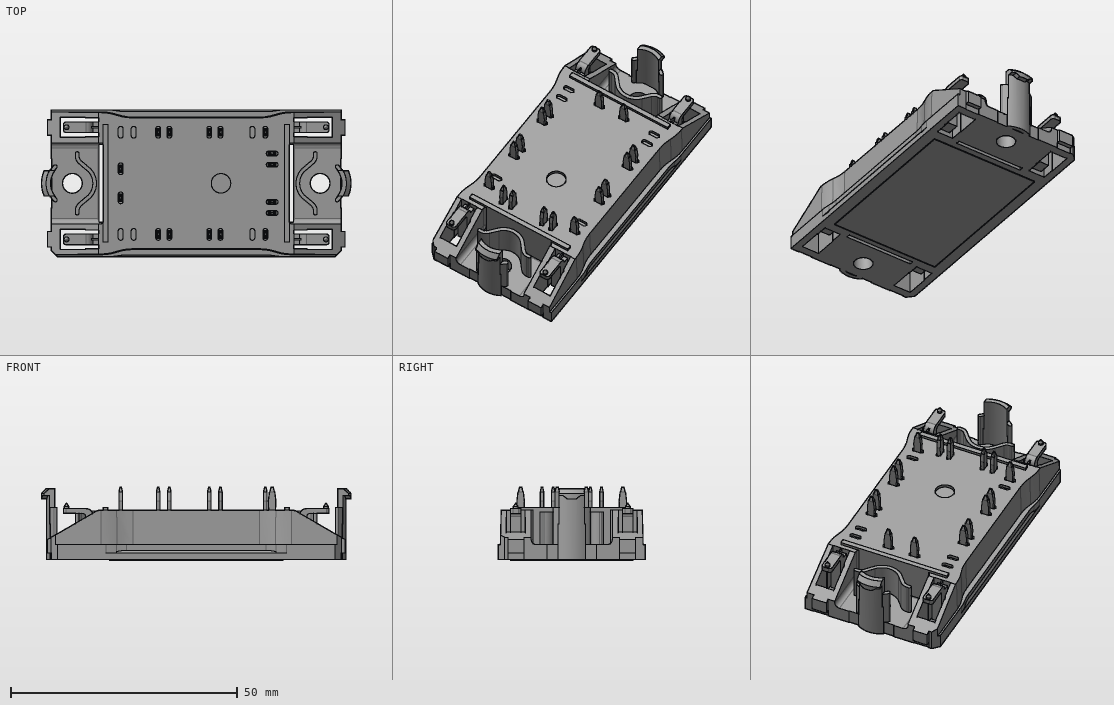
import cadquery as cq
import math

BODY_LENGTH = 64.15
BODY_WIDTH = 32.5
CORNER_CHAMFER = 1.45
BASE_LENGTH = 38.3
BASE_WIDTH = 27.1
BASE_THICKNESS = 0.2
FLANGE_TOP = 3.5
DECK_TOP = 11.15
DECK_HALF_LENGTH = 21.6
RAMP_ANGLE = 30.0

WALL_HALF_WIDTH = 15.8
WALL_DRAFT = 1.5
WAIST_DEPTH = 1.15
WAIST_OUTER_X = 21.1
WAIST_INNER_X = 13.95

RECESS_FLOOR = 1.65
RECESS_DEPTH = 0.4
RECESS_RISE = 0.6
RECESS_OUTER_X = 19.9
RECESS_INNER_X = 15.4

CHANNEL_HALF_WIDTH = 8.95
CHANNEL_FILLET = 1.15
SLIT_INNER_X = 20.6
SLIT_OUTER_X = 21.5
SLIT_HALF_WIDTH = 8.55
CHANNEL_CORNER_RADIUS = 0.5
SCREW_X = 27.35
ROUND_HOLE_DIAMETER = 4.3

WINDOW_INNER_X = 21.55
WINDOW_OUTER_X = 30.0
WINDOW_INNER_Y = 10.2
WINDOW_OUTER_Y = 14.6
WINDOW_STEP_X = 24.5
WINDOW_STEP = 0.15

TAB_REACH = 0.8
TAB_INNER_Y = 10.6
TAB_OUTER_Y = 14.1

RELIEF_DEPTH = 0.15
HOOK_RELIEF_HALF_WIDTH = 5.5

SCREEN_TOP = 10.75
SCREEN_THICKNESS = 0.8
SCREEN_CENTER_X = 26.6
SCREEN_RADIUS = 4.2
SCREEN_SWEEP = 50.0
SCREEN_STRAIGHT = 2.2
SCREEN_BEND_RADIUS = 2.0
SCREEN_END_Y = 7.0

HOOK_INNER_RADIUS = 4.8
HOOK_OUTER_RADIUS = 5.75
HOOK_LIP_RADIUS = 6.85
HOOK_TOP = 15.9
HOOK_LIP_BOTTOM = 13.6
HOOK_LIP_EDGE = 14.85
HOOK_LIP_TOP_RADIUS = 5.8
HOOK_LIP_SIDE_BOTTOM = 14.35
HOOK_LIP_TONGUE_ROOT = 1.9
HOOK_LIP_TONGUE_END = 1.0
HOOK_HALF_WIDTH = 2.8
HOOK_ROOT_HALF_WIDTH = 3.0
HOOK_ROOT_TOP = 8.1
HOOK_WING_SWEEP = 44.5
HOOK_WING_THICKNESS = 0.8
HOOK_WING_TOP = 11.75

ARM_Y = 12.4
ARM_WIDTH = 2.4
ARM_TIP_X = 29.35
ARM_LEG_X = 22.85
ARM_THICKNESS = 1.1
ARM_TOP = 11.5
ARM_TIP_FILLET = 0.6
ARM_BEND_RADIUS = 1.5
ARM_INNER_BEND_RADIUS = 0.7
ARM_LEG_THICKNESS = 1.6
ARM_BRIDGE_TOP = 9.9
ARM_LEG_BOTTOM = 1.4
ARM_RIB_WIDTH = 0.35
NUB_X = 28.65
NUB_DIAMETER = 1.1
NUB_BASE_HEIGHT = 0.4
NUB_TOP = 12.7

RIDGE_WIDTH = 1.1
RIDGE_LENGTH = 26.0
RIDGE_HEIGHT = 0.6
DIMPLE_X = 5.5
POCKET_DEPTH = 0.7
SLOT_LENGTH = 2.6
SLOT_WIDTH = 1.1
ROW_Y = 11.3
ROW_PIN_X = (-8.4, -5.95, 2.9, 5.35, 15.25)
ROW_EMPTY_X = (-16.7, -13.8, 12.4)
LEFT_PINS = ((-16.7, 3.2), (-16.7, -3.2))
RIGHT_PINS = ((16.75, 6.6), (16.75, 4.1), (16.75, -4.1), (16.75, -6.6))

PIN_TOP = 16.2
PIN_SHOULDER = 15.2
PIN_BULGE = 13.1
PIN_THICKNESS = 0.8
PIN_BASE_WIDTH = 1.5
PIN_BULGE_WIDTH = 1.7
PIN_SHOULDER_WIDTH = 1.2
PIN_TIP_ROOT_WIDTH = 1.0
PIN_TIP_WIDTH = 0.55
PIN_TIP_THICKNESS = 0.35

BODY_HALF_LENGTH = BODY_LENGTH / 2
BODY_HALF_WIDTH = BODY_WIDTH / 2
HOOK_MIDDLE_RADIUS = (HOOK_INNER_RADIUS + HOOK_OUTER_RADIUS) / 2
DECK_FLOOR = DECK_TOP - POCKET_DEPTH
SIGNS = (-1, 1)


def block(x_range, y_range, z_range):
    """Box between two limits along each axis."""
    corner = [min(limits) for limits in (x_range, y_range, z_range)]
    size = [abs(limits[1] - limits[0]) for limits in (x_range, y_range, z_range)]
    return cq.Workplane("XY").box(*size, centered=False).translate(tuple(corner))


def ramp_height(x):
    """Height of the end ramp at a distance x from the middle."""
    return DECK_TOP - (x - DECK_HALF_LENGTH) * math.tan(math.radians(RAMP_ANGLE))


def on_both_ends(feature):
    """The feature on the -X end together with its mirror image on the +X end."""
    return feature.union(feature.mirror("YZ"))


def waisted_outline(half_length, half_width, depth, outer_x, inner_x):
    """Plan outline whose long sides step inward through a pair of tangent arcs."""
    run = outer_x - inner_x
    middle_x = (outer_x + inner_x) / 2
    radius = (run ** 2 + depth ** 2) / (4 * depth)
    half_angle = math.atan(depth / run)
    arc_x = radius * math.sin(half_angle)
    arc_y = radius * (1 - math.cos(half_angle))
    waist = half_width - depth
    outline = cq.Workplane("XY").moveTo(-half_length, -half_width)
    for side in SIGNS:
        heading = -side
        outline = (
            outline.lineTo(-heading * outer_x, side * half_width)
            .threePointArc((-heading * (outer_x - arc_x), side * (half_width - arc_y)),
                           (-heading * middle_x, side * (half_width - depth / 2)))
            .threePointArc((-heading * (inner_x + arc_x), side * (waist + arc_y)),
                           (-heading * inner_x, side * waist))
            .lineTo(heading * inner_x, side * waist)
            .threePointArc((heading * (inner_x + arc_x), side * (waist + arc_y)),
                           (heading * middle_x, side * (half_width - depth / 2)))
            .threePointArc((heading * (outer_x - arc_x), side * (half_width - arc_y)),
                           (heading * outer_x, side * half_width))
            .lineTo(heading * half_length, side * half_width)
        )
        if side < 0:
            outline = outline.lineTo(half_length, half_width)
    return outline.close()


def make_flange():
    flange = block((-BODY_HALF_LENGTH, BODY_HALF_LENGTH), (-BODY_HALF_WIDTH, BODY_HALF_WIDTH),
                   (BASE_THICKNESS, RECESS_FLOOR))
    recessed = (
        waisted_outline(BODY_HALF_LENGTH, BODY_HALF_WIDTH, RECESS_DEPTH, RECESS_OUTER_X, RECESS_INNER_X)
        .extrude(FLANGE_TOP - RECESS_FLOOR)
        .translate((0, 0, RECESS_FLOOR))
    )
    flange = flange.union(recessed)
    wedge_half_length = (RECESS_OUTER_X + RECESS_INNER_X) / 2
    recess_wall = BODY_HALF_WIDTH - RECESS_DEPTH
    wedge = (
        cq.Workplane("YZ")
        .moveTo(BODY_HALF_WIDTH, RECESS_FLOOR)
        .lineTo(recess_wall, RECESS_FLOOR + RECESS_RISE)
        .lineTo(recess_wall, RECESS_FLOOR)
        .close()
        .extrude(wedge_half_length, both=True)
    )
    return flange.union(wedge).union(wedge.mirror("XZ"))


def make_housing():
    upper = (
        waisted_outline(BODY_LENGTH, WALL_HALF_WIDTH, WAIST_DEPTH, WAIST_OUTER_X, WAIST_INNER_X)
        .extrude(DECK_TOP - FLANGE_TOP, taper=WALL_DRAFT)
        .translate((0, 0, FLANGE_TOP))
    )
    ramp_foot = ramp_height(BODY_HALF_LENGTH)
    ramp_profile = (
        cq.Workplane("XZ")
        .polyline([(-BODY_HALF_LENGTH, 0), (-BODY_HALF_LENGTH, ramp_foot), (-DECK_HALF_LENGTH, DECK_TOP),
                   (DECK_HALF_LENGTH, DECK_TOP), (BODY_HALF_LENGTH, ramp_foot), (BODY_HALF_LENGTH, 0)])
        .close()
        .extrude(BODY_WIDTH, both=True)
    )
    housing = make_flange().union(upper.intersect(ramp_profile))
    corner = (
        cq.Workplane("XY")
        .moveTo(-BODY_HALF_LENGTH, -BODY_HALF_WIDTH)
        .lineTo(-BODY_HALF_LENGTH + CORNER_CHAMFER, -BODY_HALF_WIDTH)
        .lineTo(-BODY_HALF_LENGTH, -BODY_HALF_WIDTH + CORNER_CHAMFER)
        .close()
        .extrude(DECK_TOP)
    )
    base_plate = cq.Workplane("XY").box(BASE_LENGTH, BASE_WIDTH, BASE_THICKNESS, centered=(True, True, False))
    return housing.cut(on_both_ends(corner)).union(base_plate)


def end_openings():
    """Channel, slit, screw hole and two windows removed from the -X end."""
    channel = block((-BODY_LENGTH, -SLIT_INNER_X), (-CHANNEL_HALF_WIDTH, CHANNEL_HALF_WIDTH),
                    (FLANGE_TOP, 2 * DECK_TOP))
    channel = channel.edges("|Z and >X").fillet(CHANNEL_CORNER_RADIUS)
    channel = channel.edges("|X and <Z").fillet(CHANNEL_FILLET)
    slit = block((-SLIT_OUTER_X, -SLIT_INNER_X), (-SLIT_HALF_WIDTH, SLIT_HALF_WIDTH), (0, DECK_TOP))
    screw_hole = cq.Workplane("XY").center(-SCREW_X, 0).circle(ROUND_HOLE_DIAMETER / 2).extrude(DECK_TOP)
    openings = channel.union(slit).union(screw_hole)
    for side in SIGNS:
        wide_part = block((-WINDOW_OUTER_X, -WINDOW_STEP_X),
                          (side * WINDOW_INNER_Y, side * WINDOW_OUTER_Y), (0, DECK_TOP))
        narrow_y = (side * (WINDOW_INNER_Y + WINDOW_STEP), side * (WINDOW_OUTER_Y - WINDOW_STEP))
        narrow_part = block((-WINDOW_STEP_X, -WINDOW_INNER_X), narrow_y, (0, DECK_TOP))
        openings = openings.union(wide_part).union(narrow_part)
    return openings


def end_reliefs():
    """Shallow steps in the -X end face, below the tabs and around the hook."""
    relief_x = (-BODY_LENGTH, -BODY_HALF_LENGTH + RELIEF_DEPTH)
    reliefs = block(relief_x, (-HOOK_RELIEF_HALF_WIDTH, HOOK_RELIEF_HALF_WIDTH), (0, FLANGE_TOP))
    for side in SIGNS:
        reliefs = reliefs.union(block(relief_x, (side * TAB_INNER_Y, side * TAB_OUTER_Y), (0, RECESS_FLOOR)))
    return reliefs


def end_tabs():
    tab_x = BODY_HALF_LENGTH + TAB_REACH
    profile = [(-BODY_HALF_LENGTH, RECESS_FLOOR), (-tab_x, RECESS_FLOOR), (-tab_x, ramp_height(tab_x)),
               (-BODY_HALF_LENGTH, ramp_height(BODY_HALF_LENGTH))]
    tab = cq.Workplane("XZ", origin=(0, TAB_OUTER_Y, 0)).polyline(profile).close()
    tab = tab.extrude(TAB_OUTER_Y - TAB_INNER_Y)
    return tab.union(tab.mirror("XZ"))


def screen_half_outline(offset):
    """Points of one half of the screen wall face, offset from its centre line."""
    sweep = math.radians(SCREEN_SWEEP)
    cos_s, sin_s = math.cos(sweep), math.sin(sweep)
    radius = SCREEN_RADIUS + offset
    bend = SCREEN_BEND_RADIUS - offset
    arc_end = (-SCREEN_CENTER_X + radius * cos_s, radius * sin_s)
    bend_start = (arc_end[0] - SCREEN_STRAIGHT * sin_s, arc_end[1] + SCREEN_STRAIGHT * cos_s)
    bend_center = (bend_start[0] + bend * cos_s, bend_start[1] + bend * sin_s)
    bend_middle = (bend_center[0] - bend * math.cos(sweep / 2), bend_center[1] - bend * math.sin(sweep / 2))
    bend_end = (bend_center[0] - bend, bend_center[1])
    return arc_end, bend_start, bend_middle, bend_end


def screen_wall():
    """Omega-shaped wall around the inner side of the screw head."""
    half = SCREEN_THICKNESS / 2
    half_sweep = math.radians(SCREEN_SWEEP) / 2
    near = screen_half_outline(-half)
    far = screen_half_outline(half)

    def arc_middle(offset):
        radius = SCREEN_RADIUS + offset
        return (-SCREEN_CENTER_X + radius * math.cos(half_sweep), radius * math.sin(half_sweep))

    upper_half = (
        cq.Workplane("XY", origin=(0, 0, FLANGE_TOP))
        .moveTo(-SCREEN_CENTER_X + SCREEN_RADIUS - half, 0)
        .threePointArc(arc_middle(-half), near[0])
        .lineTo(*near[1])
        .threePointArc(near[2], near[3])
        .lineTo(near[3][0], SCREEN_END_Y - half)
        .threePointArc(((near[3][0] + far[3][0]) / 2, SCREEN_END_Y), (far[3][0], SCREEN_END_Y - half))
        .lineTo(*far[3])
        .threePointArc(far[2], far[1])
        .lineTo(*far[0])
        .threePointArc(arc_middle(half), (-SCREEN_CENTER_X + SCREEN_RADIUS + half, 0))
        .close()
        .extrude(SCREEN_TOP - FLANGE_TOP)
    )
    return upper_half.union(upper_half.mirror("XZ"))


def revolved_about_screw(profile):
    """Half ring about the screw axis, outboard of it."""
    ring = (
        cq.Workplane("XZ")
        .polyline(profile)
        .close()
        .revolve(360, (0, 0, 0), (0, 1, 0))
        .translate((-SCREW_X, 0, 0))
    )
    return ring.intersect(block((-BODY_LENGTH, -SCREW_X), (-BODY_WIDTH, BODY_WIDTH), (0, HOOK_TOP)))


def hook_wings():
    """Lower arc of the hook reaching past both sides of it, with rounded ends."""
    cap = HOOK_WING_THICKNESS / 2
    inner_radius = HOOK_MIDDLE_RADIUS - cap
    outer_radius = HOOK_MIDDLE_RADIUS + cap
    end_x = math.cos(math.radians(HOOK_WING_SWEEP))
    end_y = math.sin(math.radians(HOOK_WING_SWEEP))
    tip = (-HOOK_MIDDLE_RADIUS * end_x + cap * end_y, HOOK_MIDDLE_RADIUS * end_y + cap * end_x)
    return (
        cq.Workplane("XY", origin=(-SCREW_X, 0, FLANGE_TOP))
        .moveTo(-inner_radius * end_x, -inner_radius * end_y)
        .threePointArc((-inner_radius, 0), (-inner_radius * end_x, inner_radius * end_y))
        .threePointArc(tip, (-outer_radius * end_x, outer_radius * end_y))
        .threePointArc((-outer_radius, 0), (-outer_radius * end_x, -outer_radius * end_y))
        .threePointArc((tip[0], -tip[1]), (-inner_radius * end_x, -inner_radius * end_y))
        .close()
        .extrude(HOOK_WING_TOP - FLANGE_TOP)
    )


def hook_lip():
    """Catch at the top of the hook, with a narrow tongue below its middle."""
    ring = revolved_about_screw([
        (HOOK_MIDDLE_RADIUS, HOOK_LIP_BOTTOM), (HOOK_LIP_RADIUS, HOOK_LIP_BOTTOM),
        (HOOK_LIP_RADIUS, HOOK_LIP_EDGE), (HOOK_LIP_TOP_RADIUS, HOOK_TOP), (HOOK_MIDDLE_RADIUS, HOOK_TOP)])
    front = (
        cq.Workplane("YZ")
        .polyline([(-HOOK_HALF_WIDTH, HOOK_TOP), (-HOOK_HALF_WIDTH, HOOK_LIP_SIDE_BOTTOM),
                   (-HOOK_LIP_TONGUE_ROOT, HOOK_LIP_SIDE_BOTTOM), (-HOOK_LIP_TONGUE_END, HOOK_LIP_BOTTOM),
                   (HOOK_LIP_TONGUE_END, HOOK_LIP_BOTTOM), (HOOK_LIP_TONGUE_ROOT, HOOK_LIP_SIDE_BOTTOM),
                   (HOOK_HALF_WIDTH, HOOK_LIP_SIDE_BOTTOM), (HOOK_HALF_WIDTH, HOOK_TOP)])
        .close()
        .extrude(-BODY_LENGTH)
    )
    return ring.intersect(front)


def snap_hook():
    ring = revolved_about_screw([
        (HOOK_INNER_RADIUS, BASE_THICKNESS), (HOOK_OUTER_RADIUS, BASE_THICKNESS),
        (HOOK_OUTER_RADIUS, HOOK_TOP), (HOOK_INNER_RADIUS, HOOK_TOP)])
    x_range = (-BODY_LENGTH, -SCREW_X)
    post = ring.intersect(block(x_range, (-HOOK_HALF_WIDTH, HOOK_HALF_WIDTH), (0, HOOK_TOP)))
    root = ring.intersect(block(x_range, (-HOOK_ROOT_HALF_WIDTH, HOOK_ROOT_HALF_WIDTH), (0, HOOK_ROOT_TOP)))
    return post.union(root).union(hook_wings()).union(hook_lip())


def spring_arm():
    """Bent arm with a pointed nub at its free end, tied to the housing by a bridge and a thin rib."""
    arm = block((-ARM_TIP_X, -ARM_LEG_X), (ARM_Y - ARM_WIDTH / 2, ARM_Y + ARM_WIDTH / 2),
                (ARM_LEG_BOTTOM, ARM_TOP))
    arm = arm.edges("|Y and >X and >Z").fillet(ARM_BEND_RADIUS)
    arm = arm.edges("|Z and <X").fillet(ARM_TIP_FILLET)
    below_arm = block((-BODY_LENGTH, -ARM_LEG_X - ARM_LEG_THICKNESS), (0, BODY_WIDTH),
                      (0, ARM_TOP - ARM_THICKNESS))
    below_arm = below_arm.edges("|Y and >X and >Z").fillet(ARM_INNER_BEND_RADIUS)
    arm = arm.cut(below_arm)
    bridge = block((-ARM_LEG_X, -WINDOW_INNER_X), (ARM_Y - ARM_WIDTH / 2, ARM_Y + ARM_WIDTH / 2),
                   (ARM_LEG_BOTTOM, ARM_BRIDGE_TOP))
    rib = block((-ARM_LEG_X - ARM_LEG_THICKNESS / 2, -WINDOW_INNER_X),
                (ARM_Y - ARM_RIB_WIDTH / 2, ARM_Y + ARM_RIB_WIDTH / 2),
                (ARM_LEG_BOTTOM, ARM_TOP - ARM_THICKNESS / 2))
    nub_radius = NUB_DIAMETER / 2
    nub_shoulder = ARM_TOP + NUB_BASE_HEIGHT
    nub = (
        cq.Workplane("XZ")
        .polyline([(0, ARM_TOP), (nub_radius, ARM_TOP), (nub_radius, nub_shoulder), (0, NUB_TOP)])
        .close()
        .revolve(360, (0, 0, 0), (0, 1, 0))
        .translate((-NUB_X, ARM_Y, 0))
    )
    return arm.union(bridge).union(rib).union(nub)


def end_features():
    """Everything standing on the -X end."""
    arm = spring_arm()
    return end_tabs().union(screen_wall()).union(snap_hook()).union(arm).union(arm.mirror("XZ"))


def deck_ridge():
    ridge = cq.Workplane("XY").box(RIDGE_WIDTH, RIDGE_LENGTH, RIDGE_HEIGHT, centered=(True, True, False))
    return ridge.translate((-SLIT_INNER_X + RIDGE_WIDTH / 2, 0, DECK_TOP))


def make_pin():
    """Press-fit pin on the origin, its wide face across Y."""
    sides = [(PIN_BASE_WIDTH, DECK_FLOOR), (PIN_BULGE_WIDTH, PIN_BULGE), (PIN_SHOULDER_WIDTH, PIN_SHOULDER)]
    right = [(width / 2, z) for width, z in sides]
    left = [(-y, z) for y, z in reversed(right)]
    blade = cq.Workplane("YZ").polyline(right + left).close().extrude(PIN_THICKNESS / 2, both=True)
    tip = (
        cq.Workplane("XY", origin=(0, 0, PIN_SHOULDER))
        .rect(PIN_THICKNESS, PIN_TIP_ROOT_WIDTH)
        .workplane(offset=PIN_TOP - PIN_SHOULDER)
        .rect(PIN_TIP_THICKNESS, PIN_TIP_WIDTH)
        .loft()
    )
    return blade.union(tip)


def add_terminals(body):
    """Cut the terminal slots into the deck and stand the pins in them."""
    row_pins = [(x, side * ROW_Y) for x in ROW_PIN_X for side in SIGNS]
    row_empty = [(x, side * ROW_Y) for x in ROW_EMPTY_X for side in SIGNS]
    crosswise_pins = row_pins + list(LEFT_PINS)
    deck = cq.Workplane("XY", origin=(0, 0, DECK_FLOOR))
    body = body.cut(deck.pushPoints(crosswise_pins + row_empty).slot2D(SLOT_LENGTH, SLOT_WIDTH, 90)
                    .extrude(POCKET_DEPTH))
    body = body.cut(deck.pushPoints(RIGHT_PINS).slot2D(SLOT_LENGTH, SLOT_WIDTH).extrude(POCKET_DEPTH))
    pin = make_pin()
    turned_pin = pin.rotate((0, 0, 0), (0, 0, 1), 90)
    for x, y in crosswise_pins:
        body = body.union(pin.translate((x, y, 0)))
    for x, y in RIGHT_PINS:
        body = body.union(turned_pin.translate((x, y, 0)))
    return body


dimple = (
    cq.Workplane("XY", origin=(DIMPLE_X, 0, DECK_FLOOR))
    .circle(ROUND_HOLE_DIAMETER / 2)
    .extrude(POCKET_DEPTH)
)

result = make_housing().cut(on_both_ends(end_openings().union(end_reliefs()))).cut(dimple)
result = result.union(on_both_ends(end_features()))
result = result.union(on_both_ends(deck_ridge()))
result = add_terminals(result)